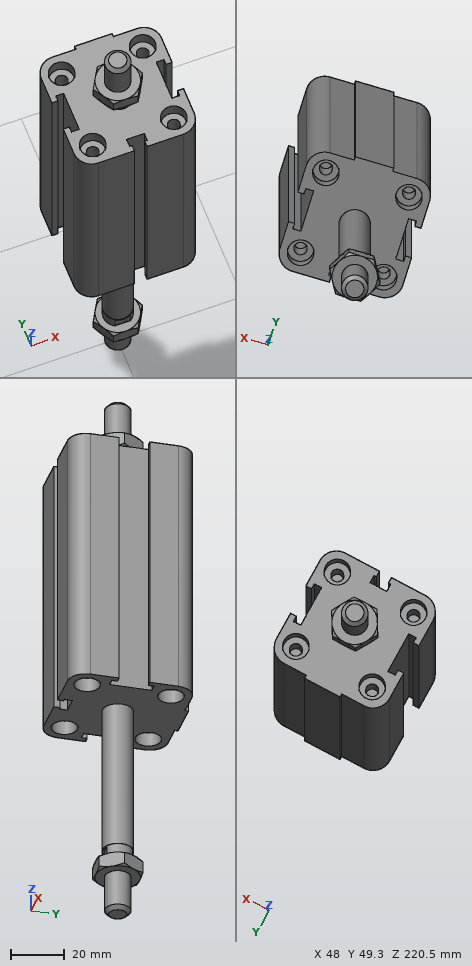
import cadquery as cq
import math

overall_length = 220.5
rod_travel = 60.6
housing_length = 104.5

housing_width = 48.0
corner_radius = 7.0
pad_width = 15.0
pad_height = 1.3

slot_lip = 2.5
slot_depth = 5.5
side_slot_mouth = 12.0
side_slot_inner = 16.3
front_slot_mouth = 5.0
front_slot_inner = 7.0

hole_pitch = 32.5
screw_hole_diameter = 4.9
screw_hole_depth = 14.3
counterbore_diameter = 10.0
counterbore_depth = 5.7

rod_diameter = 12.0
neck_diameter = 11.7
neck_flats = 10.0
neck_length = 5.3
flats_length = 4.6
thread_diameter = 10.0
thread_length = 22.0
tip_chamfer = 1.5

nut_flats = 17.0
nut_height = 6.0
nut_chamfer_angle = 30.0

lower_shoulder = thread_length
upper_shoulder = overall_length - thread_length
shaft_bottom = lower_shoulder + neck_length
shaft_top = upper_shoulder - neck_length
housing_bottom = shaft_bottom + rod_travel


def cylinder(diameter, bottom, height):
    return cq.Workplane("XY").workplane(offset=bottom).circle(diameter / 2).extrude(height)


def block(x_size, y_size, x, y, bottom, height):
    return cq.Workplane("XY").workplane(offset=bottom).center(x, y).rect(x_size, y_size).extrude(height)


def t_slot(mouth, inner, angle):
    """T-slot cutter, drawn in the -Y face and turned about Z by angle."""
    face = -housing_width / 2
    neck = block(mouth, slot_depth, 0, face + slot_depth / 2, housing_bottom, housing_length)
    undercut_depth = slot_depth - slot_lip
    undercut_y = face + slot_lip + undercut_depth / 2
    undercut = block(inner, undercut_depth, 0, undercut_y, housing_bottom, housing_length)
    return neck.union(undercut).rotate((0, 0, 0), (0, 0, 1), angle)


def make_housing():
    body = block(housing_width, housing_width, 0, 0, housing_bottom, housing_length)
    body = body.edges("|Z").fillet(corner_radius)
    wall_y = housing_width / 2
    body = body.union(block(pad_width, 2 * pad_height, 0, wall_y, housing_bottom, housing_length))

    body = body.cut(t_slot(front_slot_mouth, front_slot_inner, 0))
    for angle in (90, -90):
        body = body.cut(t_slot(side_slot_mouth, side_slot_inner, angle))

    for end in (">Z", "<Z"):
        body = (
            body.faces(end)
            .workplane(origin=(0, 0, 0))
            .rect(hole_pitch, hole_pitch, forConstruction=True)
            .vertices()
            .cboreHole(screw_hole_diameter, counterbore_diameter, counterbore_depth, screw_hole_depth)
        )
    return body.cut(cylinder(rod_diameter, housing_bottom, housing_length))


def make_rod():
    thread = cylinder(thread_diameter, 0, overall_length).faces("<Z or >Z").chamfer(tip_chamfer)
    neck = cylinder(neck_diameter, lower_shoulder, upper_shoulder - lower_shoulder)
    shaft = cylinder(rod_diameter, shaft_bottom, shaft_top - shaft_bottom)
    rod = thread.union(neck).union(shaft)

    cut_depth = rod_diameter - neck_flats
    for bottom in (lower_shoulder, upper_shoulder - flats_length):
        for side in (-1, 1):
            cut_y = side * (neck_flats + cut_depth) / 2
            rod = rod.cut(block(rod_diameter, cut_depth, 0, cut_y, bottom, flats_length))
    return rod


def make_nut(bottom):
    across_corners = nut_flats / math.cos(math.pi / 6)
    hexagon = cq.Workplane("XY").polygon(6, across_corners).extrude(nut_height)
    tip_radius = across_corners / 2
    face_radius = nut_flats / 2
    bevel = (tip_radius - face_radius) * math.tan(math.radians(nut_chamfer_angle))
    blank = (
        cq.Workplane("XZ")
        .moveTo(0, 0)
        .lineTo(face_radius, 0)
        .lineTo(tip_radius, bevel)
        .lineTo(tip_radius, nut_height - bevel)
        .lineTo(face_radius, nut_height)
        .lineTo(0, nut_height)
        .close()
        .revolve(360, (0, 0, 0), (0, 1, 0))
    )
    nut = hexagon.intersect(blank).cut(cylinder(thread_diameter, 0, nut_height))
    return nut.translate((0, 0, bottom))


housing = make_housing()
rod = make_rod()
nuts = [make_nut(bottom) for bottom in (lower_shoulder - nut_height, upper_shoulder)]

result = cq.Compound.makeCompound([housing.val(), rod.val(), *[nut.val() for nut in nuts]])